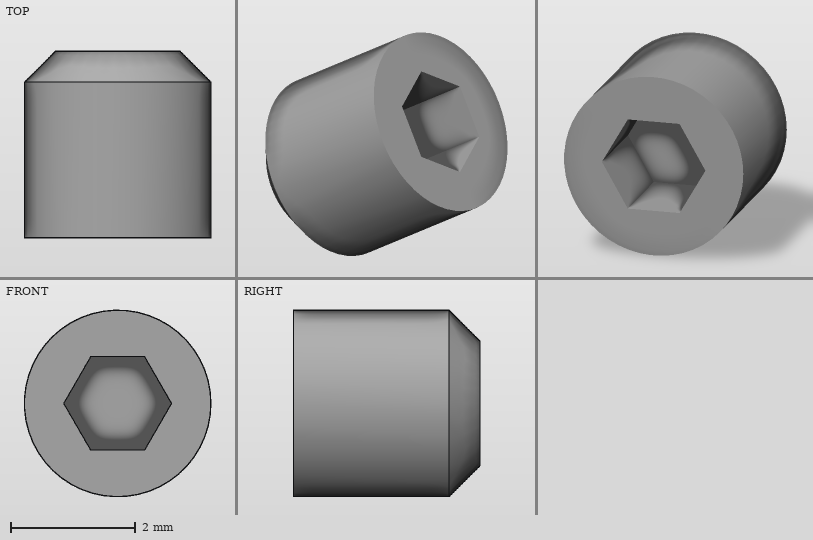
import cadquery as cq
import math

screw_diameter = 3.0
screw_length = 3.0
tip_diameter = 2.0
socket_across_flats = 1.5
socket_depth = 1.5

tip_chamfer = (screw_diameter - tip_diameter) / 2
socket_across_corners = socket_across_flats / math.cos(math.radians(30))


def along_y():
    """Workplane on the socket face, with its normal pointing to +Y."""
    return cq.Workplane(cq.Plane(origin=(0, 0, 0), xDir=(1, 0, 0), normal=(0, 1, 0)))


def make_body():
    """Plain cylinder with a 45 degree chamfer at the +Y tip."""
    cylinder = along_y().circle(screw_diameter / 2).extrude(screw_length)
    return cylinder.faces(">Y").chamfer(tip_chamfer)


def make_socket():
    """Hexagonal prism with two corners on the X axis."""
    return along_y().polygon(6, socket_across_corners).extrude(socket_depth)


result = make_body().cut(make_socket())